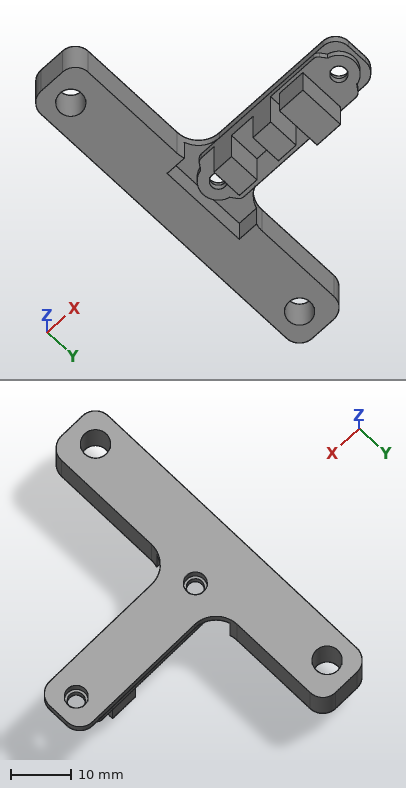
import cadquery as cq

BAR_LENGTH = 64.0
BAR_WIDTH = 11.0
BAR_HEIGHT = 8.0
ARM_END_X = 43.0
ARM_WIDTH = 10.05
ARM_Y = 2.0
ARM_THICKNESS = 2.0
CORNER_RADIUS = 3.0
CROTCH_RADIUS = 5.0
MOUNT_HOLE_DIAMETER = 5.0
MOUNT_HOLE_INSET = 5.0
SCREW_CLEARANCE_DIAMETER = 4.0
RECESS_WIDTH = 17.0

HOLE_PITCH = 28.0
FIRST_HOLE_X = 10.75
BOARD_WIDTH = ARM_WIDTH
BOARD_THICKNESS = 1.55
BOARD_HOLE_DIAMETER = 3.0
BOARD_END_RADIUS = 3.5
SHOULDER_INSET = 0.4
TIP_START = 0.8
SHOULDER_RADIUS = 1.2
FORK_START_X = 14.65
FORK_LENGTH = 13.2
FORK_DEPTH = 6.0
FORK_LEG = 4.1
FORK_BOTTOM_Z = -13.1
FORK_SLOT_TOP_Z = -5.1
CONNECTOR_START_X = 29.3
CONNECTOR_LENGTH = 5.45
CONNECTOR_FRONT_Y = -2.4
CONNECTOR_BACK_Y = 6.45
CONNECTOR_BOTTOM_Z = -10.1

SELECT_MARGIN = 0.65

BOARD_TOP_Z = -ARM_THICKNESS
BOARD_BOTTOM_Z = BOARD_TOP_Z - BOARD_THICKNESS
BOARD_CENTRE_X = FIRST_HOLE_X + HOLE_PITCH / 2
BOARD_FRONT_Y = ARM_Y - BOARD_WIDTH / 2
SCREW_POINTS = [(FIRST_HOLE_X, ARM_Y), (FIRST_HOLE_X + HOLE_PITCH, ARM_Y)]


def block(x_range, y_range, z_range):
    """Box given by its lower and upper limits along each axis."""
    lows, highs = zip(x_range, y_range, z_range)
    sizes = [high - low for low, high in zip(lows, highs)]
    return cq.Workplane("XY").box(*sizes, centered=False).translate(lows)


def through_holes(points, diameter):
    """Vertical cylinders long enough to pass through the bracket."""
    return cq.Workplane("XY").pushPoints(points).circle(diameter / 2).extrude(-BAR_HEIGHT)


def vertical_edges_in(x_range, y_range):
    """Selector for the bracket's vertical edges within the given limits."""
    low = (x_range[0] - SELECT_MARGIN, y_range[0] - SELECT_MARGIN, -BAR_HEIGHT)
    high = (x_range[1] + SELECT_MARGIN, y_range[1] + SELECT_MARGIN, 0)
    return cq.selectors.BoxSelector(low, high) & cq.selectors.ParallelDirSelector(cq.Vector(0, 0, 1))


def make_bracket():
    half_length = BAR_LENGTH / 2
    arm_front = ARM_Y - ARM_WIDTH / 2
    arm_back = ARM_Y + ARM_WIDTH / 2
    outline = [
        (0, -half_length),
        (BAR_WIDTH, -half_length),
        (BAR_WIDTH, arm_front),
        (ARM_END_X, arm_front),
        (ARM_END_X, arm_back),
        (BAR_WIDTH, arm_back),
        (BAR_WIDTH, half_length),
        (0, half_length),
    ]
    body = cq.Workplane("XY").polyline(outline).close().extrude(-BAR_HEIGHT)

    crotch = vertical_edges_in((BAR_WIDTH, BAR_WIDTH), (arm_front, arm_back))
    body = body.edges(crotch).fillet(CROTCH_RADIUS)
    outer_corners = (
        vertical_edges_in((0, BAR_WIDTH), (-half_length, -half_length))
        + vertical_edges_in((0, BAR_WIDTH), (half_length, half_length))
        + vertical_edges_in((ARM_END_X, ARM_END_X), (arm_front, arm_back))
    )
    body = body.edges(outer_corners).fillet(CORNER_RADIUS)

    recess = block(
        (FIRST_HOLE_X - BOARD_END_RADIUS, ARM_END_X),
        (ARM_Y - RECESS_WIDTH / 2, ARM_Y + RECESS_WIDTH / 2),
        (-BAR_HEIGHT, -ARM_THICKNESS),
    )
    body = body.cut(recess)

    hole_y = half_length - MOUNT_HOLE_INSET
    mount_points = [(MOUNT_HOLE_INSET, -hole_y), (MOUNT_HOLE_INSET, hole_y)]
    body = body.cut(through_holes(mount_points, MOUNT_HOLE_DIAMETER))
    return body.cut(through_holes(SCREW_POINTS, SCREW_CLEARANCE_DIAMETER))


def make_board():
    half_width = BOARD_WIDTH / 2
    shoulder_x = HOLE_PITCH / 2 - SHOULDER_INSET
    tip_x = HOLE_PITCH / 2 + TIP_START
    tip_y = (BOARD_END_RADIUS**2 - TIP_START**2) ** 0.5
    end_x = HOLE_PITCH / 2 + BOARD_END_RADIUS
    board = (
        cq.Workplane("XY", origin=(BOARD_CENTRE_X, ARM_Y, BOARD_TOP_Z))
        .moveTo(-shoulder_x, -half_width)
        .lineTo(shoulder_x, -half_width)
        .lineTo(tip_x, -tip_y)
        .threePointArc((end_x, 0), (tip_x, tip_y))
        .lineTo(shoulder_x, half_width)
        .lineTo(-shoulder_x, half_width)
        .lineTo(-tip_x, tip_y)
        .threePointArc((-end_x, 0), (-tip_x, -tip_y))
        .close()
        .extrude(-BOARD_THICKNESS)
    )
    shoulders = board.edges("|Z and <Y").add(board.edges("|Z and >Y"))
    board = shoulders.fillet(SHOULDER_RADIUS)
    return board.cut(through_holes(SCREW_POINTS, BOARD_HOLE_DIAMETER))


def make_fork():
    fork_end_x = FORK_START_X + FORK_LENGTH
    y_range = (BOARD_FRONT_Y, BOARD_FRONT_Y + FORK_DEPTH)
    body = block((FORK_START_X, fork_end_x), y_range, (FORK_BOTTOM_Z, BOARD_BOTTOM_Z))
    slot = block(
        (FORK_START_X + FORK_LEG, fork_end_x - FORK_LEG), y_range, (FORK_BOTTOM_Z, FORK_SLOT_TOP_Z)
    )
    return body.cut(slot)


def make_sensor():
    connector = block(
        (CONNECTOR_START_X, CONNECTOR_START_X + CONNECTOR_LENGTH),
        (CONNECTOR_FRONT_Y, CONNECTOR_BACK_Y),
        (CONNECTOR_BOTTOM_Z, BOARD_BOTTOM_Z),
    )
    return make_board().union(make_fork()).union(connector)


bracket = make_bracket()
sensor = make_sensor()
result = cq.Compound.makeCompound([bracket.val(), sensor.val()])